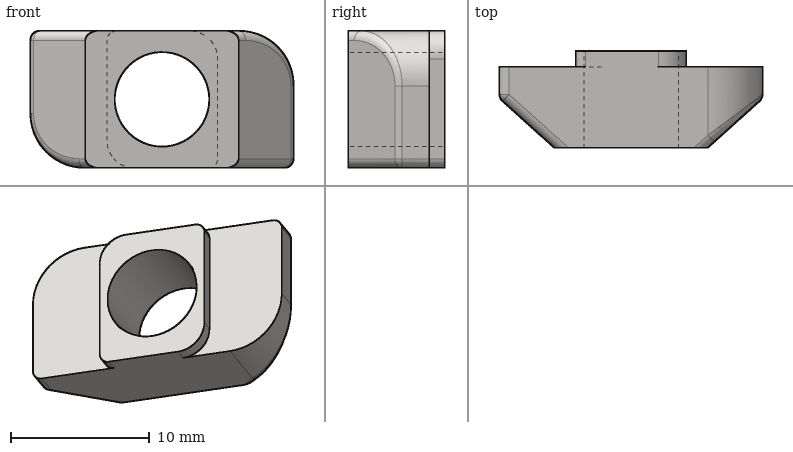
import cadquery as cq

length = 19.0
height = 9.9
depth = 7.0
boss_depth = 1.14
boss_length = 7.98
front_length = 11.05
side_depth = 2.28
bore_diameter = 6.8

small_radius = 0.68
body_radius = 3.95
boss_radius = 2.01

back_y = depth / 2
body_back_y = back_y - boss_depth
front_y = -depth / 2
slope_start_y = body_back_y - side_depth


def sharp_corner_edges(solid, block_length):
    """Edges along Y at the unrounded upper left and lower right corners."""
    return [
        edge for edge in solid.edges("|Y").vals()
        if edge.Center().x * edge.Center().z < 0
        and abs(edge.Center().x) > block_length / 2 - small_radius
        and abs(edge.Center().z) > height / 2 - small_radius
    ]


def half_rounded_block(block_length, y_front, y_back, large_radius):
    """Block with its upper right and lower left corners rounded, the others sharp."""
    block = (
        cq.Workplane("XZ", origin=(0, y_back, 0))
        .rect(block_length, height)
        .extrude(y_back - y_front)
    )
    mid_y = (y_front + y_back) / 2
    upper_right = cq.NearestToPointSelector((block_length / 2, mid_y, height / 2))
    lower_left = cq.NearestToPointSelector((-block_length / 2, mid_y, -height / 2))
    return block.edges(upper_right + lower_left).fillet(large_radius)


def tapered_prism():
    """Prism along Z whose two ends slope inward to the front face."""
    return (
        cq.Workplane("XY", origin=(0, 0, -height / 2))
        .moveTo(-length / 2, body_back_y)
        .lineTo(length / 2, body_back_y)
        .lineTo(length / 2, slope_start_y)
        .lineTo(front_length / 2, front_y)
        .lineTo(-front_length / 2, front_y)
        .lineTo(-length / 2, slope_start_y)
        .close()
        .extrude(height)
    )


def slope_rim_edges(solid):
    """Edges around the flat sloping faces, except those on the front face."""
    sloping_faces = solid.faces("%PLANE").faces("not(|X or |Y or |Z)").vals()
    front_edges = solid.faces("<Y").edges().vals()
    return [
        edge for face in sloping_faces for edge in face.Edges()
        if not any(edge.isSame(front_edge) for front_edge in front_edges)
    ]


def make_body():
    """Tapered body; small corners and slope rims share one round so they blend."""
    block = half_rounded_block(length, front_y, body_back_y, body_radius)
    body = block.intersect(tapered_prism())
    sharp_corners = sharp_corner_edges(body, length)
    return body.newObject(sharp_corners + slope_rim_edges(body)).fillet(small_radius)


def make_boss():
    """Raised pad on the back, rounded at the same corners as the body."""
    boss = half_rounded_block(boss_length, body_back_y, back_y, boss_radius)
    sharp_corners = sharp_corner_edges(boss, boss_length)
    return boss.newObject(sharp_corners).fillet(small_radius)


bore = (
    cq.Workplane("XZ", origin=(0, back_y, 0))
    .circle(bore_diameter / 2)
    .extrude(depth)
)
result = make_body().union(make_boss()).cut(bore)